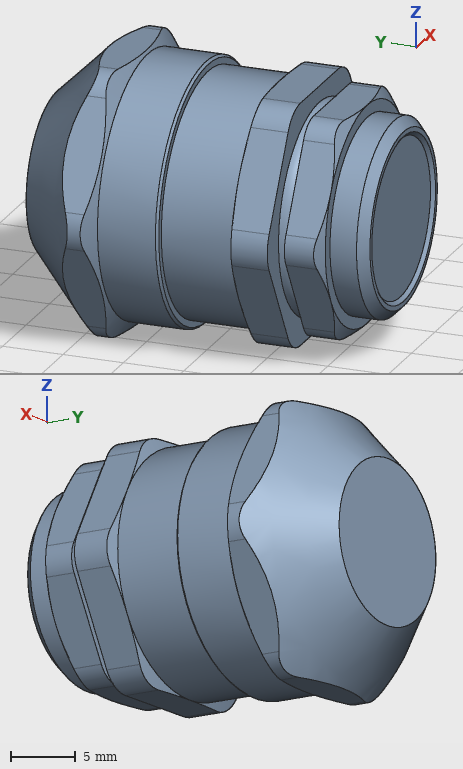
import cadquery as cq
import math


thread_end = 3.0
locknut_end = 6.0
flange_start = 7.0
flange_end = 10.3
body_end = 16.2
collar_end = 21.2
total_length = 28.7

thread_diameter = 16.0
thread_chamfer = 0.8
body_diameter = 20.0
collar_diameter = 21.5
collar_chamfer = 0.2
ring_diameter = 17.35
ring_section_radius = 1.5

locknut_flats = 18.0
locknut_corner_radius = 2.5
locknut_chamfer_angle = 30.0
flange_flats = 20.0
flange_corner_radius = 3.0
flange_chamfer_angle = 15.0
cap_flats = 22.0
cap_corner_radius = 3.0
cap_chamfer_angle = 30.0

cap_end_diameter = 13.35

recess_mouth_diameter = 13.6
recess_floor_diameter = 13.0
recess_depth = (recess_mouth_diameter - recess_floor_diameter) / 2


def cylinder(diameter, start, end):
    """Round bar along Y between two stations."""
    return cq.Workplane("XZ", origin=(0, start, 0)).circle(diameter / 2).extrude(start - end)


def across_corners(flats):
    """Width across the sharp corners of a hexagon with the given width across flats."""
    return flats / math.cos(math.pi / 6)


def hexagon(flats, corner_radius, start, end):
    """Hexagonal bar along Y with rounded corners and two flats facing +Z and -Z."""
    face = cq.Workplane("XZ", origin=(0, start, 0)).polygon(6, across_corners(flats))
    prism = face.extrude(start - end)
    return prism.edges("|Y").fillet(corner_radius)


def turned(points):
    """Solid of revolution about Y from (radius, y) points."""
    return cq.Workplane("XY").polyline(points).close().revolve(360, (0, 0, 0), (0, 1, 0))


def chamfer_length(radial_width, angle):
    """Length along Y of a conical chamfer inclined at the angle to the end face."""
    return radial_width * math.tan(math.radians(angle))


def make_thread():
    """Round threaded end, modelled plain, with a 45 degree lead-in."""
    return cylinder(thread_diameter, 0, thread_end).faces("<Y").chamfer(thread_chamfer)


def make_locknut():
    """Hexagon nut chamfered on its front face."""
    inner = locknut_flats / 2
    outer = across_corners(locknut_flats) / 2
    chamfer = chamfer_length(outer - inner, locknut_chamfer_angle)
    envelope = turned([
        (0, thread_end),
        (inner, thread_end),
        (outer, thread_end + chamfer),
        (outer, locknut_end),
        (0, locknut_end),
    ])
    return hexagon(locknut_flats, locknut_corner_radius, thread_end, locknut_end).intersect(envelope)


def make_sealing_ring():
    """O-ring around the thread core, with its rear half sunk into the flange."""
    section_offset = ring_diameter / 2 - ring_section_radius
    section = cq.Workplane("XY").center(section_offset, flange_start).circle(ring_section_radius)
    ring = section.revolve(360, (-section_offset, 0, 0), (-section_offset, 1, 0))
    return ring.union(cylinder(thread_diameter, locknut_end, flange_start))


def make_flange():
    """Hexagon of the body, chamfered on its rear face."""
    inner = flange_flats / 2
    outer = across_corners(flange_flats) / 2
    chamfer = chamfer_length(outer - inner, flange_chamfer_angle)
    envelope = turned([
        (0, flange_start),
        (outer, flange_start),
        (outer, flange_end - chamfer),
        (inner, flange_end),
        (0, flange_end),
    ])
    return hexagon(flange_flats, flange_corner_radius, flange_start, flange_end).intersect(envelope)


def make_collar():
    """Round skirt of the cap with a small chamfer on its front rim."""
    return cylinder(collar_diameter, body_end, collar_end).faces("<Y").chamfer(collar_chamfer)


def make_cap():
    """Hexagon cap: chamfered in front, a 45 degree cone behind."""
    inner = collar_diameter / 2
    outer = across_corners(cap_flats) / 2
    chamfer = chamfer_length(outer - inner, cap_chamfer_angle)
    end_radius = cap_end_diameter / 2
    envelope = turned([
        (0, collar_end),
        (inner, collar_end),
        (outer, collar_end + chamfer),
        (outer, total_length - (outer - end_radius)),
        (end_radius, total_length),
        (0, total_length),
    ])
    return hexagon(cap_flats, cap_corner_radius, collar_end, total_length).intersect(envelope)


def make_recess():
    """Shallow conical recess to cut from the thread end."""
    return turned([
        (0, 0),
        (recess_mouth_diameter / 2, 0),
        (recess_floor_diameter / 2, recess_depth),
        (0, recess_depth),
    ])


gland = make_thread()
gland = gland.union(make_locknut())
gland = gland.union(make_sealing_ring())
gland = gland.union(make_flange())
gland = gland.union(cylinder(body_diameter, flange_end, body_end))
gland = gland.union(make_collar())
gland = gland.union(make_cap())
result = gland.cut(make_recess())